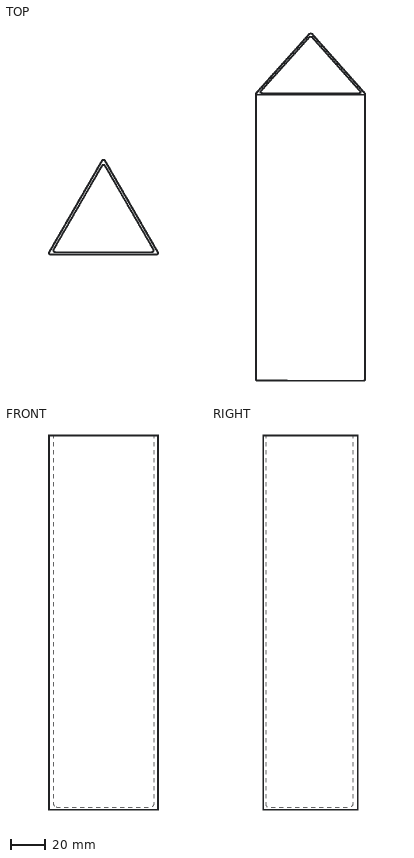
import cadquery as cq
import math

side_length = 65.0
height = 218.0
outer_corner_radius = 1.0
wall_thickness = 1.5
floor_thickness = wall_thickness
cavity_corner_radius = 1.0
floor_fillet_radius = 2.0

outer_inradius = side_length / (2 * math.sqrt(3))
cavity_inradius = outer_inradius - wall_thickness


def triangular_prism(inradius, bottom, top):
    """Upright equilateral prism about the Z axis, with one flat side facing -Y."""
    half_side = inradius * math.sqrt(3)
    corners = [(-half_side, -inradius), (half_side, -inradius), (0, 2 * inradius)]
    return cq.Workplane("XY").workplane(offset=bottom).polyline(corners).close().extrude(top - bottom)


def outer_body():
    """Solid prism with its three upright edges rounded."""
    return triangular_prism(outer_inradius, 0, height).edges("|Z").fillet(outer_corner_radius)


def cavity():
    """Open-topped triangular pocket with rounded upright corners and a rounded edge around its floor."""
    pocket = triangular_prism(cavity_inradius, floor_thickness, height)
    pocket = pocket.edges("|Z").fillet(cavity_corner_radius)
    return pocket.edges("<Z").fillet(floor_fillet_radius)


result = outer_body().cut(cavity())